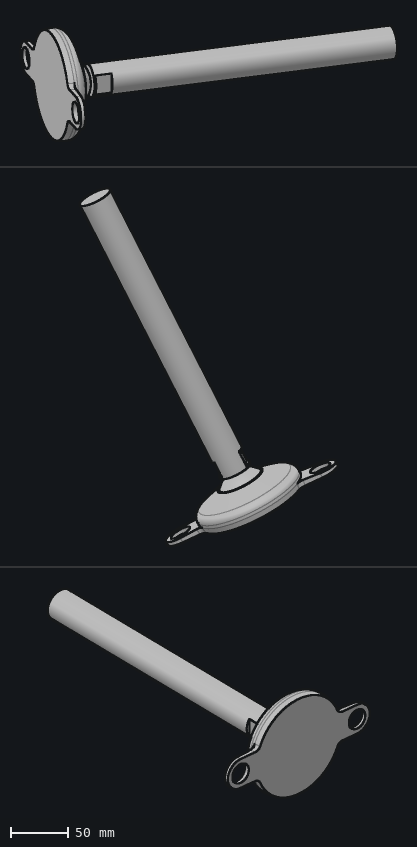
import cadquery as cq
import math


PAD_BOTTOM_RADIUS = 49.0
PAD_HEIGHT = 6.0
LUG_SPACING = 136.0
LUG_RADIUS = 15.0
LUG_HOLE_DIAMETER = 19.0
LUG_TIP_THICKNESS = 4.0
LUG_SLOPE = math.radians(3.3)
LUG_FILLET = 6.0

BASE_RADIUS = 50.0
RIM_TOP = 9.0
SHOULDER_RADIUS = 8.0
CONE_SLOPE = math.radians(21.0)
CONE_TOP = 25.3

BALL_RADIUS = 25.2
BALL_CENTER_Y = 10.5
SPINDLE_RADIUS = 15.0
SPINDLE_BOTTOM = 35.3
TOTAL_LENGTH = 315.0

FLATS_WIDTH = 24.0
FLATS_LENGTH = 15.0
FLATS_OFFSET = 1.7


def cylinder_along_y(radius, length, y_start=0.0, x_center=0.0):
    """Cylinder growing towards +Y from y_start."""
    center = cq.Vector(x_center, y_start, 0)
    return cq.Workplane(cq.Solid.makeCylinder(radius, length, center, cq.Vector(0, 1, 0)))


def revolve_about_y(profile):
    """Close an outline that starts and ends on the Y axis and turn it into a solid."""
    return profile.close().revolve(360, (0, 0, 0), (0, 1, 0))


def make_pad():
    """Flared disc with two filleted lugs whose top falls towards both tips."""
    disc = revolve_about_y(
        cq.Workplane("XY")
        .lineTo(PAD_BOTTOM_RADIUS, 0)
        .lineTo(BASE_RADIUS, PAD_HEIGHT)
        .lineTo(0, PAD_HEIGHT)
    )
    tip_x = LUG_SPACING / 2 + LUG_RADIUS
    lug_bar = cq.Workplane("XZ").slot2D(2 * tip_x, 2 * LUG_RADIUS).extrude(-PAD_HEIGHT)
    pad = disc.union(lug_bar)

    corner_x = math.sqrt(BASE_RADIUS**2 - LUG_RADIUS**2)
    for side_x in (-1, 1):
        for side_z in (-1, 1):
            corner = (side_x * corner_x, PAD_HEIGHT / 2, side_z * LUG_RADIUS)
            pad = pad.edges(cq.selectors.NearestToPointSelector(corner)).fillet(LUG_FILLET)

    slope_run = (PAD_HEIGHT - LUG_TIP_THICKNESS) / math.tan(LUG_SLOPE)
    slope_top_x = tip_x - slope_run
    above_lug = (
        cq.Workplane("XY")
        .moveTo(slope_top_x, PAD_HEIGHT)
        .lineTo(tip_x, LUG_TIP_THICKNESS)
        .lineTo(tip_x, PAD_HEIGHT)
        .close()
        .extrude(BASE_RADIUS, both=True)
    )
    above_lugs = above_lug.union(above_lug.mirror("YZ"))
    return pad.cut(above_lugs).union(disc)


def make_base():
    """Bell: straight rim, rounded shoulder and a cone up to the ball."""
    shoulder_x = BASE_RADIUS - SHOULDER_RADIUS
    turn_end = math.pi / 2 - CONE_SLOPE

    def shoulder_point(angle):
        return (
            shoulder_x + SHOULDER_RADIUS * math.cos(angle),
            RIM_TOP + SHOULDER_RADIUS * math.sin(angle),
        )

    cone_start = shoulder_point(turn_end)
    cone_top_radius = cone_start[0] - (CONE_TOP - cone_start[1]) / math.tan(CONE_SLOPE)
    return revolve_about_y(
        cq.Workplane("XY")
        .moveTo(0, PAD_HEIGHT)
        .lineTo(BASE_RADIUS, PAD_HEIGHT)
        .lineTo(BASE_RADIUS, RIM_TOP)
        .threePointArc(shoulder_point(turn_end / 2), cone_start)
        .lineTo(cone_top_radius, CONE_TOP)
        .lineTo(0, CONE_TOP)
    )


def make_ball():
    """Upper half of the ball, from inside the base up into the spindle."""
    ball_top = BALL_CENTER_Y + BALL_RADIUS
    diagonal = BALL_RADIUS * math.sqrt(0.5)
    return revolve_about_y(
        cq.Workplane("XY")
        .moveTo(0, BALL_CENTER_Y)
        .lineTo(BALL_RADIUS, BALL_CENTER_Y)
        .threePointArc((diagonal, BALL_CENTER_Y + diagonal), (0, ball_top))
    )


def make_spindle():
    """Plain round rod with two opposite wrench flats near the ball."""
    spindle = cylinder_along_y(SPINDLE_RADIUS, TOTAL_LENGTH - SPINDLE_BOTTOM, SPINDLE_BOTTOM)
    flat_depth = SPINDLE_RADIUS - FLATS_WIDTH / 2
    flats_y = SPINDLE_BOTTOM + FLATS_OFFSET + FLATS_LENGTH / 2
    for side in (-1, 1):
        cut_x = side * (FLATS_WIDTH + flat_depth) / 2
        cutter = cq.Workplane("XY").box(flat_depth, FLATS_LENGTH, 2 * SPINDLE_RADIUS)
        spindle = spindle.cut(cutter.translate((cut_x, flats_y, 0)))
    return spindle


def drill_lugs(body):
    """Bolt hole through each lug, concentric with its round end."""
    for side in (-1, 1):
        hole_x = side * LUG_SPACING / 2
        hole = cylinder_along_y(LUG_HOLE_DIAMETER / 2, PAD_HEIGHT, x_center=hole_x)
        body = body.cut(hole)
    return body


pad = drill_lugs(make_pad())
result = pad.union(make_base()).union(make_ball()).union(make_spindle())